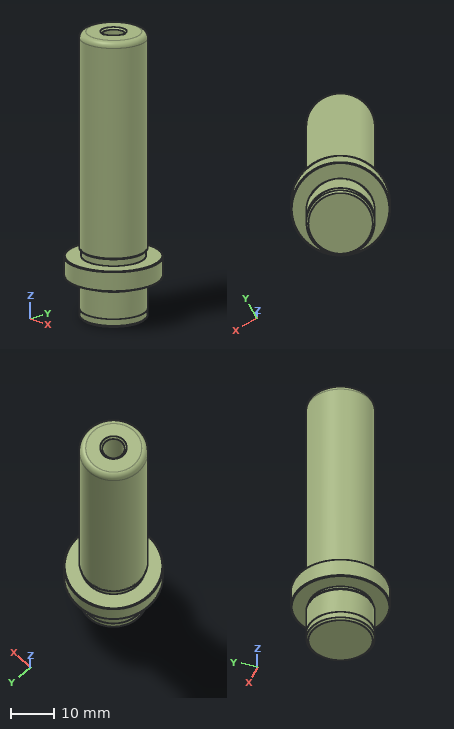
import cadquery as cq
import math

total_length = 70.0
shaft_radius = 8.0
tip_fillet = 1.5

flange_diameter = 23.0
flange_radius = flange_diameter / 2
flange_bottom = 10.0
flange_top = 15.0
flange_chamfer = 0.2

neck_radius = 7.55
groove_taper = shaft_radius - neck_radius
upper_groove_top = 17.0
lower_groove_bottom = 8.75
lower_groove_taper_height = 0.6

lead_reduction = 0.035
lead_radius = shaft_radius - lead_reduction
lead_height = 2.1
end_chamfer = 0.5

hole_radius = 2.6
hole_mouth_radius = 3.1
hole_depth = 12.0
drill_point_angle = 118.0


def revolve_profile(points):
    """Revolve a (radius, height) outline about the Z axis."""
    return cq.Workplane("XZ").polyline(points).close().revolve(360, (0, 0, 0), (0, 1, 0))


def make_body():
    body = revolve_profile([
        (0, 0),
        (lead_radius - end_chamfer, 0),
        (lead_radius, end_chamfer),
        (lead_radius, lead_height),
        (shaft_radius, lead_height),
        (shaft_radius, lower_groove_bottom),
        (neck_radius, lower_groove_bottom + lower_groove_taper_height),
        (neck_radius, flange_bottom),
        (flange_radius - flange_chamfer, flange_bottom),
        (flange_radius, flange_bottom + flange_chamfer),
        (flange_radius, flange_top - flange_chamfer),
        (flange_radius - flange_chamfer, flange_top),
        (neck_radius, flange_top),
        (neck_radius, upper_groove_top - groove_taper),
        (shaft_radius, upper_groove_top),
        (shaft_radius, total_length),
        (0, total_length),
    ])
    return body.faces(">Z").edges().fillet(tip_fillet)


def make_hole():
    mouth_depth = hole_mouth_radius - hole_radius
    hole_floor = total_length - hole_depth
    point_depth = hole_radius / math.tan(math.radians(drill_point_angle / 2))
    return revolve_profile([
        (0, total_length),
        (hole_mouth_radius, total_length),
        (hole_radius, total_length - mouth_depth),
        (hole_radius, hole_floor),
        (0, hole_floor - point_depth),
    ])


result = make_body().cut(make_hole())